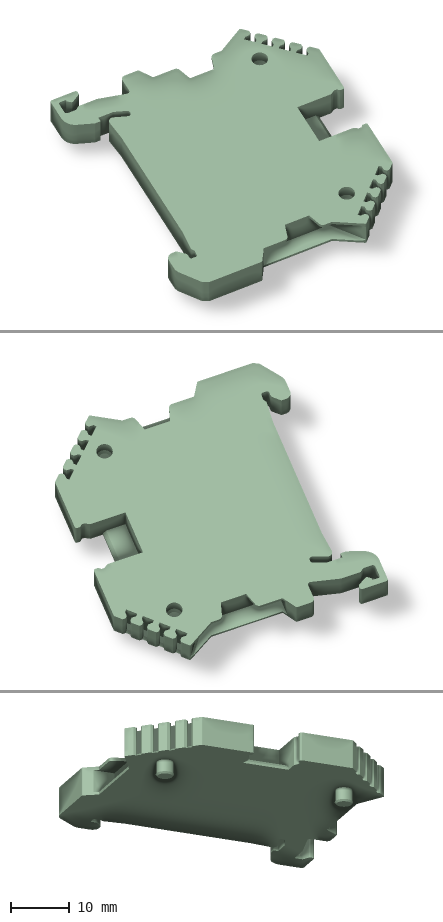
import cadquery as cq
import math


THICKNESS = 5.1
TOP_Y = 38.75
BODY_HALF_WIDTH = 21.0
WING_HALF_WIDTH = 23.98
WING_TIP_Y = 28.7
WING_ROOT_Y = 23.75
WING_TIP_RADIUS = 0.25
SHOULDER_TOP_Y = 10.75
SHOULDER_Y = 9.2
SHOULDER_X = 23.5
TOP_CORNER_X = WING_HALF_WIDTH - (TOP_Y - WING_TIP_Y)
FOOT_LEFT_X = -24.2
FOOT_BOTTOM_Y = TOP_Y - 46.0
HOOK_LEDGE_Y = -3.45

RAIL_FACE_HALF_WIDTH = 11.6
SPRING_LIP_X = -16.6
SPRING_LIP_DROP = 0.45
FIXED_LIP_X = 15.6
FIXED_LIP_DROP = 0.38

SHOULDER_BOTTOM_Y = 5.8
ARM_ROOT_X = -19.6
ARM_BEND_Y = 0.1
HOOK_THROAT_X = -22.5
HOOK_TIP_X = -23.3
HOOK_TIP_Y = -2.15
FOOT_HEEL_X = -18.1
FOOT_HEEL_RADIUS = 2.7
CATCH_X = -16.35
CATCH_TOP_Y = -1.55
CATCH_BOTTOM_Y = -2.6
RELIEF_X = -17.2
RELIEF_BEND_Y = 1.3
RELIEF_END_Y = 3.8
RELIEF_END_LEFT_X = -16.25
RELIEF_END_RIGHT_X = -15.0

UNDERCUT_X = 17.5
UNDERCUT_TOP_Y = -0.1
UNDERCUT_BOTTOM_Y = -1.45
FIXED_TOE_X = 14.95
FIXED_FOOT_BOTTOM_Y = -4.85

SLOT_HALF_WIDTH = 4.15
SLOT_LIP_HALF_WIDTH = 4.25
SLOT_LIP_BOTTOM_Y = 37.85
SLOT_CATCH_HALF_WIDTH = 4.65
SLOT_CATCH_TOP_Y = 37.45
SLOT_CATCH_BOTTOM_Y = 36.95
SLOT_CATCH_END_Y = 36.1
SLOT_CATCH_RADIUS = 0.2
SLOT_BOTTOM_Y = 29.7
SLOT_FLOOR_END_Y = 33.8
SLOT_FLOOR_Z = 1.0
SLOT_FLOOR_CHAMFER = 0.6

LOWER_SKIN = 0.5
UPPER_SKIN = 0.6
CAVITY_WALL_X = 18.0
CAVITY_END_Y = 10.25
CAVITY_SLOPE_END_Y = 24.3
CAVITY_BEVEL = 0.35
OVERSHOOT = 1.0

NOTCH_TOP_Y = 20.85
NOTCH_BOTTOM_Y = 16.25
NOTCH_FLARE = 0.9
NOTCH_RADIUS = 0.8

GROOVE_COUNT = 4
GROOVE_PITCH = 3.1
GROOVE_NECK_HALF_WIDTH = 0.45
GROOVE_BACK_HALF_WIDTH = 1.02
GROOVE_MOUTH_CHAMFER = 0.35
GROOVE_NECK_DEPTH = 0.9
GROOVE_DEPTH = 2.0
GROOVE_FLOOR_Z = 0.45
GROOVE_SILL_START = 0.4

PIN_X = 16.5
PIN_Y = 28.75
PIN_LENGTH = 2.5
PIN_RADIUS = 1.45
PIN_LIP_RADIUS = 1.58
PIN_LIP_HEIGHT = 0.3
PIN_TIP_RADIUS = 1.3
SOCKET_RADIUS = 1.4
SOCKET_TIP_RADIUS = 1.0
SOCKET_DEPTH = 2.5
SOCKET_CONE_HEIGHT = 0.4

HOOK_FLOOR_Z = 0.5
HOOK_RECESS_LEFT_X = -23.15
HOOK_RECESS_RIGHT_X = -20.45
HOOK_RECESS_BOTTOM_Y = -6.15
HOOK_RECESS_STEP_Y = -4.75


def rounded_wire(corners):
    """Closed outline from (x, y, radius) corners; a radius of 0 leaves the corner sharp."""
    rounds = []
    count = len(corners)
    for i, (x, y, radius) in enumerate(corners):
        corner = cq.Vector(x, y)
        before = cq.Vector(*corners[i - 1][:2])
        after = cq.Vector(*corners[(i + 1) % count][:2])
        to_before = (before - corner).normalized()
        to_after = (after - corner).normalized()
        half_angle = to_before.getAngle(to_after) / 2
        setback = radius / math.tan(half_angle)
        bisector = (to_before + to_after).normalized()
        middle = corner + bisector * (radius / math.sin(half_angle) - radius)
        rounds.append((corner + to_before * setback, middle, corner + to_after * setback, radius))
    outline = cq.Workplane("XY").moveTo(*rounds[0][2].toTuple()[:2])
    for start, middle, end, radius in rounds[1:] + rounds[:1]:
        outline = outline.lineTo(*start.toTuple()[:2])
        if radius > 0:
            outline = outline.threePointArc(middle.toTuple()[:2], end.toTuple()[:2])
    return outline.close()


def prism(corners, bottom_z, top_z):
    """Solid with a rounded outline between two heights."""
    return rounded_wire(corners).extrude(top_z - bottom_z).translate((0, 0, bottom_z))


def sharp(points):
    return [(x, y, 0) for x, y in points]


def both_sides(left_solid):
    """The given left-hand solid with its mirror image on the right."""
    return left_solid.add(left_solid.mirror("YZ")).combine()


def slot_edge(side):
    """Left (-1) or right (+1) edge of the central slot, from the top downwards."""
    return [
        (side * SLOT_LIP_HALF_WIDTH, TOP_Y, 0.3),
        (side * SLOT_LIP_HALF_WIDTH, SLOT_LIP_BOTTOM_Y, SLOT_CATCH_RADIUS),
        (side * SLOT_CATCH_HALF_WIDTH, SLOT_CATCH_TOP_Y, SLOT_CATCH_RADIUS),
        (side * SLOT_CATCH_HALF_WIDTH, SLOT_CATCH_BOTTOM_Y, SLOT_CATCH_RADIUS),
        (side * SLOT_HALF_WIDTH, SLOT_CATCH_END_Y, 0),
        (side * SLOT_HALF_WIDTH, SLOT_FLOOR_END_Y, 0),
    ]


def side_edge(side):
    """Left (-1) or right (+1) edge of the body, from the top corner down to the shoulder."""
    return [
        (side * TOP_CORNER_X, TOP_Y, 0.25),
        (side * WING_HALF_WIDTH, WING_TIP_Y, WING_TIP_RADIUS),
        (side * BODY_HALF_WIDTH, WING_ROOT_Y, 0),
        (side * BODY_HALF_WIDTH, SHOULDER_TOP_Y, 0),
        (side * SHOULDER_X, SHOULDER_Y, 0.3),
    ]


def plate():
    spring_foot = [
        (-SHOULDER_X, SHOULDER_BOTTOM_Y, 0.75),
        (ARM_ROOT_X, SHOULDER_BOTTOM_Y, 0.5),
        (-BODY_HALF_WIDTH, ARM_BEND_Y, 1.5),
        (-BODY_HALF_WIDTH, HOOK_LEDGE_Y, 0),
        (HOOK_THROAT_X, HOOK_LEDGE_Y, 0),
        (HOOK_TIP_X, HOOK_TIP_Y, 0.4),
        (FOOT_LEFT_X, HOOK_TIP_Y, 0.4),
        (FOOT_LEFT_X, FOOT_BOTTOM_Y, 0.3),
        (FOOT_HEEL_X, FOOT_BOTTOM_Y, FOOT_HEEL_RADIUS),
        (CATCH_X, CATCH_BOTTOM_Y, 0.3),
        (CATCH_X, CATCH_TOP_Y, 0),
        (RELIEF_X, CATCH_TOP_Y, 0),
        (RELIEF_X, RELIEF_BEND_Y, 0.5),
        (RELIEF_END_LEFT_X, RELIEF_END_Y, 0.5),
        (RELIEF_END_RIGHT_X, RELIEF_END_Y, 0.5),
        (SPRING_LIP_X, -SPRING_LIP_DROP, 0.8),
    ]
    rail_face = [
        (-RAIL_FACE_HALF_WIDTH, 0, 0),
        (RAIL_FACE_HALF_WIDTH, 0, 0),
        (FIXED_LIP_X, -FIXED_LIP_DROP, 0.2),
    ]
    fixed_foot = [
        (16.2, 0.0, 0.2),
        (UNDERCUT_X, UNDERCUT_TOP_Y, 0.3),
        (UNDERCUT_X, UNDERCUT_BOTTOM_Y, 0.3),
        (16.3, UNDERCUT_BOTTOM_Y, 0.8),
        (FIXED_TOE_X, -2.85, 0.3),
        (FIXED_TOE_X, FIXED_FOOT_BOTTOM_Y, 1.2),
        (18.8, FIXED_FOOT_BOTTOM_Y, 2.3),
        (23.0, -1.9, 1.0),
        (SHOULDER_X, -0.9, 0.3),
    ]
    outline = (
        slot_edge(-1)[::-1]
        + side_edge(-1)
        + spring_foot
        + rail_face
        + fixed_foot
        + side_edge(1)[::-1]
        + slot_edge(1)
    )
    return prism(outline, 0, THICKNESS)


def slot_cut():
    """Removes the slot above its thin floor and bevels the floor's outer edge."""
    bevel_y = SLOT_FLOOR_END_Y - SLOT_FLOOR_CHAMFER
    profile = [
        (SLOT_BOTTOM_Y, SLOT_FLOOR_Z),
        (bevel_y, SLOT_FLOOR_Z),
        (SLOT_FLOOR_END_Y, SLOT_FLOOR_Z - SLOT_FLOOR_CHAMFER),
        (SLOT_FLOOR_END_Y, THICKNESS),
        (SLOT_BOTTOM_Y, THICKNESS),
    ]
    return cq.Workplane("YZ").polyline(profile).close().extrude(SLOT_HALF_WIDTH, both=True)


def left_cavity():
    """Side cavity with a slanting upper wall, plus the notch that opens it upwards."""
    outside_x = -WING_HALF_WIDTH - OVERSHOOT
    roof_z = THICKNESS - UPPER_SKIN
    slope = (WING_TIP_Y - CAVITY_SLOPE_END_Y) / (WING_HALF_WIDTH - CAVITY_WALL_X)
    cavity = prism(
        sharp([
            (outside_x, CAVITY_END_Y),
            (-CAVITY_WALL_X, CAVITY_END_Y),
            (-CAVITY_WALL_X, CAVITY_SLOPE_END_Y),
            (outside_x, WING_TIP_Y + slope * OVERSHOOT),
        ]),
        LOWER_SKIN,
        roof_z,
    )
    slanting_wall = cavity.faces(">(1,2,0)")
    cavity = slanting_wall.edges("#Z").chamfer(CAVITY_BEVEL)

    notch_top = NOTCH_TOP_Y + NOTCH_FLARE
    notch_bottom = NOTCH_BOTTOM_Y - NOTCH_FLARE
    notch = prism(
        [
            (outside_x, notch_bottom - OVERSHOOT, 0),
            (-BODY_HALF_WIDTH, notch_bottom - OVERSHOOT, 0),
            (-BODY_HALF_WIDTH, notch_bottom, NOTCH_RADIUS),
            (-CAVITY_WALL_X, NOTCH_BOTTOM_Y, 0),
            (-CAVITY_WALL_X, NOTCH_TOP_Y, 0),
            (-BODY_HALF_WIDTH, notch_top, NOTCH_RADIUS),
            (-BODY_HALF_WIDTH, notch_top + OVERSHOOT, 0),
            (outside_x, notch_top + OVERSHOOT, 0),
        ],
        roof_z - CAVITY_BEVEL,
        THICKNESS,
    )
    return cavity.union(notch)


def marker_groove():
    """One dovetail groove cutting towards -Y from an edge on the X axis, with a bevelled sill."""
    mouth = GROOVE_NECK_HALF_WIDTH + GROOVE_MOUTH_CHAMFER
    taper_end = GROOVE_NECK_DEPTH + GROOVE_BACK_HALF_WIDTH - GROOVE_NECK_HALF_WIDTH
    right_half = [
        (mouth, 0),
        (GROOVE_NECK_HALF_WIDTH, -GROOVE_MOUTH_CHAMFER),
        (GROOVE_NECK_HALF_WIDTH, -GROOVE_NECK_DEPTH),
        (GROOVE_BACK_HALF_WIDTH, -taper_end),
        (GROOVE_BACK_HALF_WIDTH, -GROOVE_DEPTH),
    ]
    left_half = [(-x, y) for x, y in reversed(right_half)]
    groove = prism(sharp(right_half + left_half), 0, THICKNESS)
    sill_profile = [
        (-GROOVE_DEPTH, 0),
        (-GROOVE_SILL_START, 0),
        (-GROOVE_NECK_DEPTH, GROOVE_FLOOR_Z),
        (-GROOVE_DEPTH, GROOVE_FLOOR_Z),
    ]
    sill = cq.Workplane("YZ").polyline(sill_profile).close().extrude(GROOVE_BACK_HALF_WIDTH, both=True)
    return groove.cut(sill)


def left_grooves():
    groove = marker_groove()
    edge_middle = (-(TOP_CORNER_X + WING_HALF_WIDTH) / 2, (TOP_Y + WING_TIP_Y) / 2, 0)
    row = cq.Workplane("XY")
    for i in range(GROOVE_COUNT):
        row = row.add(groove.translate(((i - (GROOVE_COUNT - 1) / 2) * GROOVE_PITCH, 0, 0)))
    return row.combine().rotate((0, 0, 0), (0, 0, 1), 45).translate(edge_middle)


def turned(profile, x, y):
    """Solid of revolution about a vertical axis from a (radius, z) profile."""
    return cq.Workplane("XZ").polyline(profile).close().revolve(360, (0, 0), (0, 1)).translate((x, y, 0))


def left_pin():
    lip_z = -PIN_LENGTH + PIN_LIP_HEIGHT
    profile = [
        (0, LOWER_SKIN),
        (PIN_RADIUS, LOWER_SKIN),
        (PIN_RADIUS, lip_z),
        (PIN_LIP_RADIUS, lip_z),
        (PIN_TIP_RADIUS, -PIN_LENGTH),
        (0, -PIN_LENGTH),
    ]
    return turned(profile, -PIN_X, PIN_Y)


def left_socket():
    floor_z = THICKNESS - SOCKET_DEPTH
    profile = [
        (0, THICKNESS),
        (SOCKET_RADIUS, THICKNESS),
        (SOCKET_RADIUS, floor_z + SOCKET_CONE_HEIGHT),
        (SOCKET_TIP_RADIUS, floor_z),
        (0, floor_z),
    ]
    return turned(profile, -PIN_X, PIN_Y)


def hook_recess():
    corners = [
        (-BODY_HALF_WIDTH, HOOK_LEDGE_Y, 0),
        (HOOK_THROAT_X, HOOK_LEDGE_Y, 0),
        (-22.2, -4.0, 0.2),
        (-22.8, HOOK_RECESS_STEP_Y, 0),
        (HOOK_RECESS_LEFT_X, HOOK_RECESS_STEP_Y, 0),
        (HOOK_RECESS_LEFT_X, HOOK_RECESS_BOTTOM_Y, 0.3),
        (HOOK_RECESS_RIGHT_X, HOOK_RECESS_BOTTOM_Y, 0.5),
        (HOOK_RECESS_RIGHT_X, -4.1, 0.5),
    ]
    return prism(corners, HOOK_FLOOR_Z, THICKNESS)


housing = plate().cut(slot_cut()).cut(hook_recess())
for left_cut in (left_cavity(), left_grooves(), left_socket()):
    housing = housing.cut(both_sides(left_cut))
result = housing.union(both_sides(left_pin()))